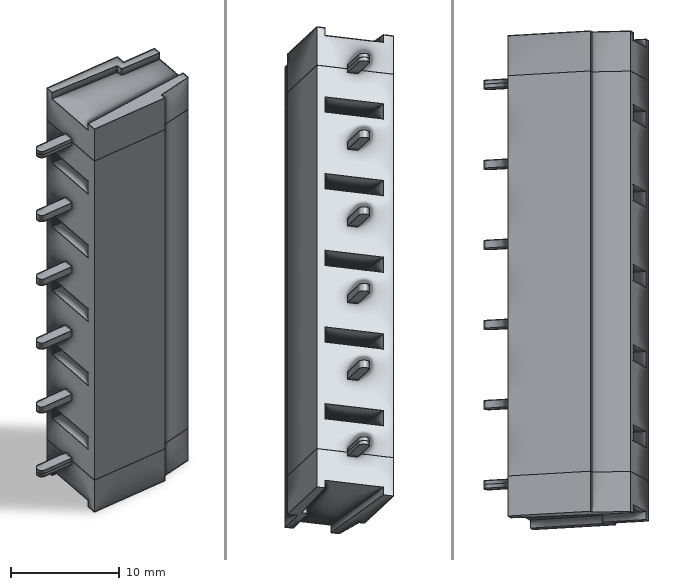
import cadquery as cq

POLE_COUNT = 6
TOTAL_HEIGHT = 45.0
POLE_PITCH = TOTAL_HEIGHT / POLE_COUNT
WIDTH = 7.5
TOTAL_DEPTH = 15.1
PIN_LENGTH = 3.6
BODY_DEPTH = TOTAL_DEPTH - PIN_LENGTH

REAR_STEP_DEPTH = 3.5
LEFT_STEP = 1.0
RIGHT_STEP = 0.55
RIGHT_REAR_INSET = 1.2

SLOT_HEIGHT = 1.5
WALL_LEFT_FRONT = 0.8
WALL_LEFT_BEFORE_STEP = 1.1
WALL_LEFT_AFTER_STEP = 1.7
WALL_LEFT_REAR = 1.8
WALL_RIGHT_FRONT = 1.0
WALL_RIGHT_REAR = 2.02
SLOT_STEP_DEPTH = 4.28
SLOT_INNER_RADIUS = 0.2
SLOT_OUTER_RADIUS = 0.22

PIN_WIDTH = 1.0
PIN_HEIGHT = 0.7
PIN_FROM_LEFT = 3.5

LEFT = -WIDTH / 2
RIGHT = WIDTH / 2
BOTTOM = -TOTAL_HEIGHT / 2
TOP = TOTAL_HEIGHT / 2
FRONT = 0.0
BACK = FRONT + BODY_DEPTH
STEP_Y = BACK - REAR_STEP_DEPTH


def make_block():
    outline = [
        (LEFT, FRONT),
        (RIGHT, FRONT),
        (RIGHT, STEP_Y),
        (RIGHT - RIGHT_STEP, STEP_Y),
        (RIGHT - RIGHT_REAR_INSET, BACK),
        (LEFT + LEFT_STEP, BACK),
        (LEFT + LEFT_STEP, STEP_Y),
        (LEFT, STEP_Y),
    ]
    return cq.Workplane("XY", origin=(0, 0, BOTTOM)).polyline(outline).close().extrude(TOTAL_HEIGHT)


def make_slot(z_center):
    slot_step_y = BACK - SLOT_STEP_DEPTH
    inner_corner = (LEFT + WALL_LEFT_BEFORE_STEP, slot_step_y)
    outer_corner = (LEFT + WALL_LEFT_AFTER_STEP, slot_step_y)
    outline = [
        (LEFT + WALL_LEFT_FRONT, FRONT),
        (RIGHT - WALL_RIGHT_FRONT, FRONT),
        (RIGHT - WALL_RIGHT_REAR, BACK),
        (LEFT + WALL_LEFT_REAR, BACK),
        outer_corner,
        inner_corner,
    ]
    base = cq.Workplane("XY", origin=(0, 0, z_center - SLOT_HEIGHT / 2))
    slot = base.polyline(outline).close().extrude(SLOT_HEIGHT)
    for corner, radius in ((inner_corner, SLOT_INNER_RADIUS), (outer_corner, SLOT_OUTER_RADIUS)):
        corner_edge = cq.NearestToPointSelector((*corner, z_center))
        slot = slot.edges(corner_edge).fillet(radius)
    return slot


def make_pin(z_center):
    """Flat pin whose free end is a full half round."""
    x_center = LEFT + PIN_FROM_LEFT
    tip_y = FRONT - PIN_LENGTH
    half_width = PIN_WIDTH / 2
    return (
        cq.Workplane("XY", origin=(x_center, 0, z_center - PIN_HEIGHT / 2))
        .moveTo(half_width, FRONT)
        .lineTo(half_width, tip_y + half_width)
        .threePointArc((0, tip_y), (-half_width, tip_y + half_width))
        .lineTo(-half_width, FRONT)
        .close()
        .extrude(PIN_HEIGHT)
    )


def make_terminal_block():
    block = make_block()
    for i in range(POLE_COUNT + 1):
        block = block.cut(make_slot(BOTTOM + i * POLE_PITCH))
    for i in range(POLE_COUNT):
        block = block.union(make_pin(BOTTOM + (i + 0.5) * POLE_PITCH))
    return block


def take_section(block, z_low, z_high):
    """Keep the part of the block between two heights."""
    keep = cq.Workplane("XY", origin=(0, 0, z_low)).rect(2 * WIDTH, 2 * TOTAL_DEPTH).extrude(z_high - z_low)
    return block.intersect(keep)


terminal_block = make_terminal_block()
lower_joint = BOTTOM + POLE_PITCH / 2
upper_joint = TOP - POLE_PITCH / 2

lower_end = take_section(terminal_block, BOTTOM, lower_joint)
middle = take_section(terminal_block, lower_joint, upper_joint)
upper_end = take_section(terminal_block, upper_joint, TOP)

result = cq.Compound.makeCompound([lower_end.val(), middle.val(), upper_end.val()])